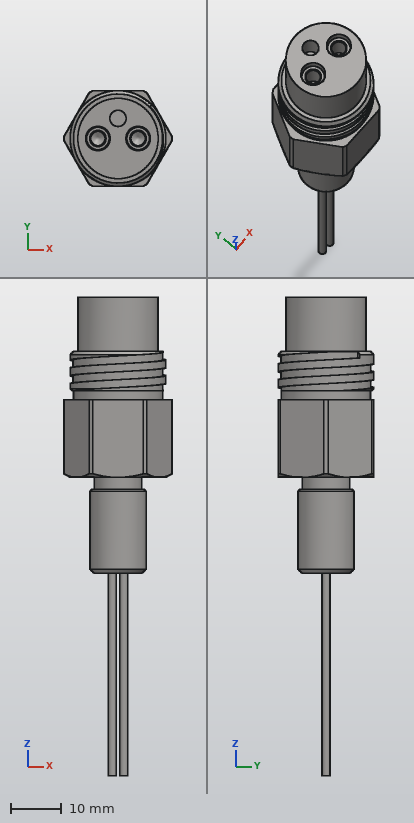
import cadquery as cq
import math

total_height = 94.3
sleeve_bottom = 39.9
sleeve_top = 56.5
hex_bottom = 58.85
hex_top = 74.1
thread_bottom = 75.8
thread_top = 83.7

barrel_diameter = 15.8
relief_diameter = 17.6
thread_diameter = 18.9
thread_root_diameter = 17.7
neck_diameter = 9.4
sleeve_diameter = 11.1
sleeve_bottom_chamfer = 0.85
sleeve_top_chamfer = 0.5

hex_sides = 6
hex_across_flats = 18.9
hex_corner_diameter = 21.3
hex_bottom_face_diameter = 19.05
hex_cone_angle = 30.0

thread_pitch = 3.1
groove_width = thread_pitch / 2
thread_top_chamfer = 0.7
thread_bottom_chamfer = 0.5
groove_center_height = 76.5
groove_overcut = 0.5
groove_turns = 3
groove_start_angle = 45.0

hole_circle_radius = 4.0
cavity_diameter = 4.8
cavity_depth = 5.7
contact_diameter = 4.4
contact_recess = 1.3
contact_mouth_diameter = 3.2
contact_bore_diameter = 2.8
contact_bore_depth = 5.7
drill_point_angle = 118.0
key_hole_diameter = 3.2
key_hole_depth = 5.7

wire_diameter = 1.6
wire_spacing = 2.3


def cylinder(diameter, bottom, top, x=0, y=0):
    """Upright cylinder between two heights."""
    return cq.Workplane("XY", origin=(x, y, bottom)).circle(diameter / 2).extrude(top - bottom)


def make_sleeve():
    """Chamfered rear sleeve."""
    return (
        cylinder(sleeve_diameter, sleeve_bottom, sleeve_top)
        .faces("<Z").chamfer(sleeve_bottom_chamfer)
        .faces(">Z").chamfer(sleeve_top_chamfer)
    )


def make_hex_body():
    """Hexagonal prism trimmed by a cylinder that tapers at its lower end."""
    across_corners = hex_across_flats / math.cos(math.pi / hex_sides)
    prism = cq.Workplane("XY", origin=(0, 0, hex_bottom)).polygon(hex_sides, across_corners)
    prism = prism.extrude(hex_top - hex_bottom)
    corner_radius = hex_corner_diameter / 2
    bottom_radius = hex_bottom_face_diameter / 2
    cone_height = (corner_radius - bottom_radius) * math.tan(math.radians(hex_cone_angle))
    turned_blank = (
        cq.Workplane("XZ")
        .moveTo(0, hex_bottom)
        .lineTo(bottom_radius, hex_bottom)
        .lineTo(corner_radius, hex_bottom + cone_height)
        .lineTo(corner_radius, hex_top)
        .lineTo(0, hex_top)
        .close()
        .revolve(360, (0, 0, 0), (0, 1, 0))
    )
    return prism.intersect(turned_blank)


def make_thread():
    """Chamfered threaded section with a helical groove that runs out at the lower end."""
    blank = (
        cylinder(thread_diameter, thread_bottom, thread_top)
        .faces("<Z").chamfer(thread_bottom_chamfer)
        .faces(">Z").chamfer(thread_top_chamfer)
    )
    root_radius = thread_root_diameter / 2
    groove_depth = thread_diameter / 2 - root_radius + groove_overcut
    for turn in range(groove_turns):
        turns_climbed = turn - 1 + groove_start_angle / 360
        start_height = groove_center_height + turns_climbed * thread_pitch
        helix = cq.Wire.makeHelix(
            thread_pitch, thread_pitch, root_radius, center=cq.Vector(0, 0, start_height)
        )
        groove = (
            cq.Workplane("XZ", origin=(root_radius + groove_depth / 2, 0, start_height))
            .rect(groove_depth, groove_width)
            .sweep(cq.Workplane(obj=helix), isFrenet=True)
            .rotate((0, 0, 0), (0, 0, 1), groove_start_angle)
        )
        blank = blank.cut(groove)
    return blank


def make_socket(x):
    """Cutter that leaves a recessed tubular contact with a chamfered, drilled bore in its cavity."""
    bore_radius = contact_bore_diameter / 2
    mouth_radius = contact_mouth_diameter / 2
    contact_top = total_height - contact_recess
    mouth_bottom = contact_top - (mouth_radius - bore_radius)
    bore_bottom = contact_top - contact_bore_depth
    point_depth = bore_radius / math.tan(math.radians(drill_point_angle / 2))
    bore = (
        cq.Workplane("XZ", origin=(x, 0, 0))
        .moveTo(0, contact_top)
        .lineTo(mouth_radius, contact_top)
        .lineTo(bore_radius, mouth_bottom)
        .lineTo(bore_radius, bore_bottom)
        .lineTo(0, bore_bottom - point_depth)
        .close()
        .revolve(360, (0, 0, 0), (0, 1, 0))
    )
    cavity_floor = total_height - cavity_depth
    cavity = cylinder(cavity_diameter, cavity_floor, total_height, x)
    contact = cylinder(contact_diameter, cavity_floor, contact_top, x)
    return cavity.cut(contact).union(bore)


result = make_sleeve()
result = result.union(cylinder(neck_diameter, sleeve_bottom, hex_top))
result = result.union(make_hex_body())
result = result.union(cylinder(relief_diameter, hex_bottom, thread_bottom))
result = result.union(make_thread())
result = result.union(cylinder(barrel_diameter, hex_bottom, total_height))

result = result.cut(
    cylinder(key_hole_diameter, total_height - key_hole_depth, total_height, y=hole_circle_radius)
)
for side in (-1, 1):
    result = result.cut(make_socket(side * hole_circle_radius))

for side in (-1, 1):
    result = result.union(cylinder(wire_diameter, 0, sleeve_top, side * wire_spacing / 2))